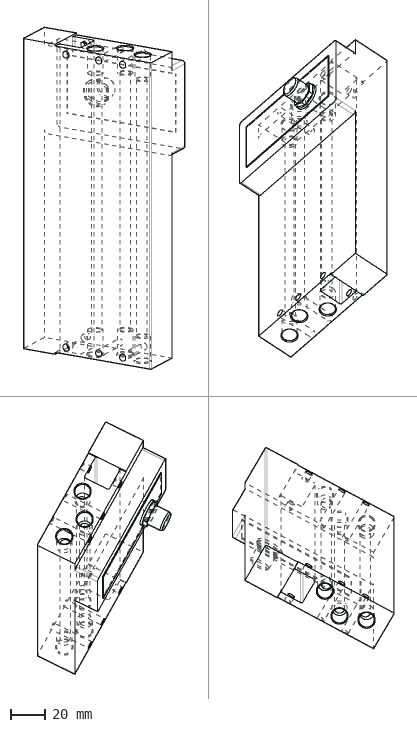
import cadquery as cq

WIDTH = 86.0
HEIGHT = 190.0
BLOCK_DEPTH = 24.9
FRONT_EDGE_RADIUS = 0.8

RAIL_WIDTH = 21.7
END_STEP = 1.1

DUCT_WIDTH = 14.5
DUCT_DEPTH = 16.3
DUCT_FRONT = 4.8
DUCT_CORNER_RADIUS = 1.0

CROSS_HOLE_X = (28.9, 51.0, 67.0)
CROSS_HOLE_DIAMETER = 4.2
CROSS_HOLE_INSET = 5.3

PORTS = (
    ((44.0, 8.0), (45.0, 8.0)),
    ((58.9, 17.1), (58.9, 17.1)),
    ((74.0, 11.5), (73.2, 11.8)),
)
BORE_DIAMETER = 6.0
SOCKET_DIAMETER = 9.0
SOCKET_DEPTH = 15.2
SOCKET_CHAMFER = 0.5

BOX_TOP = HEIGHT - 10.8
BOX_HEIGHT = 54.2
BOX_DEPTH = 14.8
BOX_CORNER_RADIUS = 1.9
LABEL_WIDTH = 73.2
LABEL_HEIGHT = 35.7
LABEL_THICKNESS = 0.5

CONNECTOR_X = 25.5
CONNECTOR_Z = HEIGHT - 40.7
FLANGE_DIAMETER = 16.3
FLANGE_TOP = 41.6
NUT_ACROSS_FLATS = 13.5
NUT_TOP = 44.0
PLUG_DIAMETER = 12.2
PLUG_TOP = 53.5
PLUG_CHAMFER_LENGTH = 1.1
PLUG_CHAMFER_WIDTH = 0.5

BOX_CENTER_Z = BOX_TOP - BOX_HEIGHT / 2
BOX_BACK = BLOCK_DEPTH + BOX_DEPTH
CROSS_HOLE_Z = (CROSS_HOLE_INSET, HEIGHT - CROSS_HOLE_INSET)


def plane_facing_back(x, y, z):
    """Work plane facing +Y, with its local X along -X and its local Y along +Z."""
    return cq.Workplane(cq.Plane(origin=(x, y, z), xDir=(-1, 0, 0), normal=(0, 1, 0)))


def make_block():
    rail = cq.Workplane("XY").box(RAIL_WIDTH, BLOCK_DEPTH, HEIGHT, centered=False)
    body = (
        cq.Workplane("XY", origin=(0, 0, END_STEP))
        .box(WIDTH, BLOCK_DEPTH, HEIGHT - 2 * END_STEP, centered=False)
    )
    front_corners = "|Z and <Y and (<X or >X)"
    return rail.union(body).edges(front_corners).fillet(FRONT_EDGE_RADIUS)


def make_duct():
    return (
        cq.Workplane("XY", origin=(RAIL_WIDTH, DUCT_FRONT, 0))
        .box(DUCT_WIDTH, DUCT_DEPTH, HEIGHT, centered=False)
        .edges("|Z")
        .fillet(DUCT_CORNER_RADIUS)
    )


def make_cross_holes():
    hole_radius = CROSS_HOLE_DIAMETER / 2
    points = [(-x, z) for x in CROSS_HOLE_X for z in CROSS_HOLE_Z]
    return plane_facing_back(0, 0, 0).pushPoints(points).circle(hole_radius).extrude(BLOCK_DEPTH)


def make_socket(center):
    """Socket with a chamfered mouth, sunk into the upper end of the block."""
    mouth_z = HEIGHT - END_STEP
    socket_radius = SOCKET_DIAMETER / 2
    mouth_radius = socket_radius + SOCKET_CHAMFER
    socket = (
        cq.Workplane("XY", origin=(*center, mouth_z - SOCKET_DEPTH))
        .circle(socket_radius)
        .extrude(SOCKET_DEPTH)
    )
    mouth = cq.Solid.makeCone(
        socket_radius, mouth_radius, SOCKET_CHAMFER, pnt=cq.Vector(*center, mouth_z - SOCKET_CHAMFER)
    )
    return socket.union(cq.Workplane(mouth))


def make_port(socket_center, bore_center):
    """Bore through the full height with the same socket at both ends."""
    bore = cq.Workplane("XY", origin=(*bore_center, 0)).circle(BORE_DIAMETER / 2).extrude(HEIGHT)
    upper = make_socket(socket_center)
    lower = upper.mirror("XY", (0, 0, HEIGHT / 2))
    return bore.union(upper).union(lower)


def make_control_box():
    box = (
        plane_facing_back(WIDTH / 2, BLOCK_DEPTH, BOX_CENTER_Z)
        .rect(WIDTH, BOX_HEIGHT)
        .extrude(BOX_DEPTH)
        .edges("|Y")
        .fillet(BOX_CORNER_RADIUS)
    )
    label = (
        plane_facing_back(WIDTH / 2, BOX_BACK, BOX_CENTER_Z)
        .rect(LABEL_WIDTH, LABEL_HEIGHT)
        .extrude(LABEL_THICKNESS)
    )
    return box.union(label)


def make_connector():
    base = plane_facing_back(CONNECTOR_X, BOX_BACK, CONNECTOR_Z)
    flange = base.circle(FLANGE_DIAMETER / 2).extrude(FLANGE_TOP - BOX_BACK)
    nut = base.polygon(6, NUT_ACROSS_FLATS, circumscribed=True).extrude(NUT_TOP - BOX_BACK)
    tip_radius = PLUG_DIAMETER / 2 - PLUG_CHAMFER_WIDTH
    plug = base.circle(PLUG_DIAMETER / 2).extrude(PLUG_TOP - PLUG_CHAMFER_LENGTH - BOX_BACK)
    tip = cq.Solid.makeCone(
        PLUG_DIAMETER / 2,
        tip_radius,
        PLUG_CHAMFER_LENGTH,
        pnt=cq.Vector(CONNECTOR_X, PLUG_TOP - PLUG_CHAMFER_LENGTH, CONNECTOR_Z),
        dir=cq.Vector(0, 1, 0),
    )
    return flange.union(nut).union(plug).union(cq.Workplane(tip))


block = make_block().cut(make_duct()).cut(make_cross_holes())
for socket_center, bore_center in PORTS:
    block = block.cut(make_port(socket_center, bore_center))

result = block.union(make_control_box()).union(make_connector())